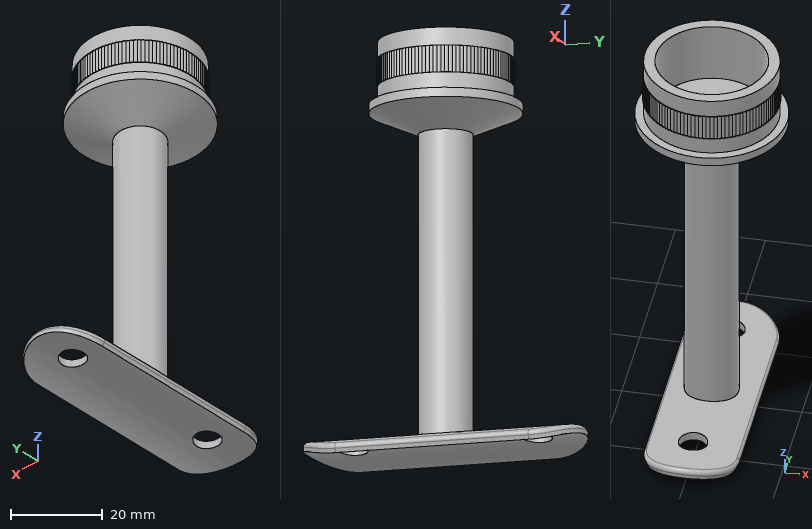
import cadquery as cq
import math

TOTAL_HEIGHT = 92.5

TUBE_RADIUS = 21.2
PLATE_THICKNESS = 2.0
PLATE_LENGTH = 64.0
PLATE_END_RADIUS = 10.0
ANGLE_ALONG_Y = 90
PLATE_EDGE_FILLET = 0.5 * PLATE_THICKNESS
HOLE_DIAMETER = 6.4
HOLE_SPACING = 42.0

POST_RADIUS = 6.0
FLANGE_RADIUS = 16.8
CUP_RADIUS = 14.9
BORE_RADIUS = 12.4
CUP_HEIGHT = 14.0
FLANGE_THICKNESS = 2.0
CONE_HEIGHT = 4.7

KNURL_HEIGHT = 6.0
KNURL_TOP_GAP = 4.1
KNURL_RIDGES = 112
KNURL_RIDGE_HEIGHT = 0.2

tube_axis_z = -math.sqrt(TUBE_RADIUS**2 - PLATE_END_RADIUS**2)
plate_top_radius = TUBE_RADIUS + PLATE_THICKNESS
flange_top_z = TOTAL_HEIGHT - CUP_HEIGHT
flange_bottom_z = flange_top_z - FLANGE_THICKNESS
cone_bottom_z = flange_bottom_z - CONE_HEIGHT
knurl_bottom_z = TOTAL_HEIGHT - KNURL_TOP_GAP - KNURL_HEIGHT


def cylinder_along_y(radius):
    """Solid cylinder around the axis of the tube that the plate sits on."""
    return (
        cq.Workplane("XZ")
        .center(0, tube_axis_z)
        .circle(radius)
        .extrude(PLATE_LENGTH, both=True)
    )


def make_saddle_plate():
    """Slot-shaped sheet on the tube, its sides square to the sheet, with a rounded top edge."""
    slot_prism = (
        cq.Workplane("XY")
        .slot2D(PLATE_LENGTH, 2 * PLATE_END_RADIUS, ANGLE_ALONG_Y)
        .extrude(TUBE_RADIUS, both=True)
    )
    underside = slot_prism.intersect(cylinder_along_y(TUBE_RADIUS)).faces(">Z").val()
    plate = cq.Workplane(underside.thicken(PLATE_THICKNESS))
    plate = plate.faces(">Z").edges().fillet(PLATE_EDGE_FILLET)
    holes = (
        cq.Workplane("XY")
        .pushPoints([(0, -0.5 * HOLE_SPACING), (0, 0.5 * HOLE_SPACING)])
        .circle(0.5 * HOLE_DIAMETER)
        .extrude(plate_top_radius)
    )
    return plate.cut(holes)


def make_knurl():
    """Ring of shallow rounded ridges that meet in sharp roots on the cup surface."""
    half_pitch = math.pi / KNURL_RIDGES
    crest_radius = CUP_RADIUS + KNURL_RIDGE_HEIGHT
    outline = cq.Workplane("XY", origin=(0, 0, knurl_bottom_z)).moveTo(CUP_RADIUS, 0)
    for i in range(KNURL_RIDGES):
        crest_angle = (2 * i + 1) * half_pitch
        root_angle = (2 * i + 2) * half_pitch
        outline = outline.threePointArc(
            (crest_radius * math.cos(crest_angle), crest_radius * math.sin(crest_angle)),
            (CUP_RADIUS * math.cos(root_angle), CUP_RADIUS * math.sin(root_angle)),
        )
    return outline.close().circle(BORE_RADIUS).extrude(KNURL_HEIGHT)


def make_stem():
    """Post that rests on the plate and widens through a cone into the flanged, knurled cup."""
    profile = [
        (0, 0),
        (POST_RADIUS, 0),
        (POST_RADIUS, cone_bottom_z),
        (FLANGE_RADIUS, flange_bottom_z),
        (FLANGE_RADIUS, flange_top_z),
        (CUP_RADIUS, flange_top_z),
        (CUP_RADIUS, TOTAL_HEIGHT),
        (BORE_RADIUS, TOTAL_HEIGHT),
        (BORE_RADIUS, flange_top_z),
        (0, flange_top_z),
    ]
    turned = cq.Workplane("XZ").polyline(profile).close().revolve()
    return turned.cut(cylinder_along_y(plate_top_radius)).union(make_knurl())


saddle_plate = make_saddle_plate()
stem = make_stem()
result = cq.Compound.makeCompound([saddle_plate.val(), stem.val()])